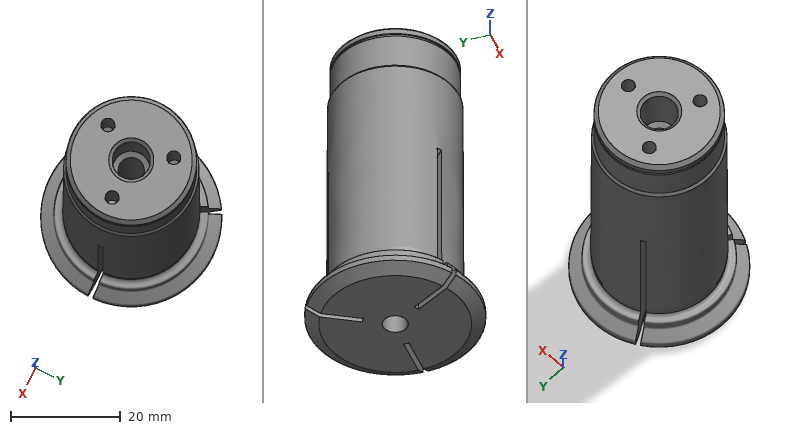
import cadquery as cq
import math

TOTAL_HEIGHT = 60.5

RIM_RADIUS = 16.5
RIM_BOTTOM_Z = 1.5
RIM_TOP_Z = 2.72
RIM_ROUND = 0.5
CONE_ANGLE = 30.0

STEP_RADIUS = 14.08
STEP_TOP_Z = 6.1
STEP_EDGE_ROUND = 0.35
STEP_ROOT_ROUND = 0.35

UNDERCUT_RADIUS = 12.35
UNDERCUT_BOTTOM_Z = 6.65
UNDERCUT_ROOT_RADIUS = 1.0
UNDERCUT_TOP_Z = 7.5
SHAFT_FOOT_RADIUS = 12.5
SHAFT_FOOT_Z = 8.0
SHAFT_HEAD_RADIUS = 12.35
SHAFT_HEAD_Z = 50.6

CAP_RADIUS = 23.8 / 2
CAP_FACE_RADIUS = 22.2 / 2
CAP_BOTTOM_Z = 51.2
GROOVE_BOTTOM_Z = 58.05
GROOVE_TOP_Z = 58.65
GROOVE_DEPTH = 0.25

BORE_DIAMETER = 4.76
COUNTERBORE_DIAMETER = 6.92
COUNTERSINK_DIAMETER = 8.2
COUNTERBORE_DEPTH = 10.0
FLOOR_SLOPE = math.tan(math.radians(30))

FACE_HOLE_COUNT = 3
FACE_HOLE_DIAMETER = 2.5
FACE_HOLE_CIRCLE_RADIUS = 7.75
FACE_HOLE_DEPTH = 10.0

SLOT_COUNT = 3
SLOT_WIDTH = 1.0
SLOT_TOP_Z = 33.5
SLOT_INNER_RADIUS = 6.0
SLOT_END_ANGLE = 35.0


class CircleSelector(cq.Selector):
    """Select circular edges about Z with a given radius and height."""

    TOLERANCE = 1e-4

    def __init__(self, radius, height):
        self.radius = radius
        self.height = height

    def filter(self, edges):
        return [edge for edge in edges if self.matches(edge)]

    def matches(self, edge):
        if edge.geomType() != "CIRCLE":
            return False
        radius_error = abs(edge.radius() - self.radius)
        height_error = abs(edge.Center().z - self.height)
        return max(radius_error, height_error) < self.TOLERANCE


def make_body():
    """Revolve the outer profile and round the edges of the flange step."""
    cone_run_per_height = 1 / math.tan(math.radians(CONE_ANGLE))
    foot_radius = RIM_RADIUS - RIM_BOTTOM_Z * cone_run_per_height
    cone_top_z = RIM_TOP_Z + (RIM_RADIUS - STEP_RADIUS) / cone_run_per_height
    cap_chamfer = CAP_RADIUS - CAP_FACE_RADIUS
    root_arc_rise = UNDERCUT_ROOT_RADIUS - (UNDERCUT_BOTTOM_Z - STEP_TOP_Z)
    root_arc_width = math.sqrt(UNDERCUT_ROOT_RADIUS**2 - root_arc_rise**2)

    profile = (
        cq.Workplane("XZ")
        .moveTo(0, 0)
        .lineTo(foot_radius, 0)
        .lineTo(RIM_RADIUS, RIM_BOTTOM_Z)
        .lineTo(RIM_RADIUS, RIM_TOP_Z)
        .lineTo(STEP_RADIUS, cone_top_z)
        .lineTo(STEP_RADIUS, STEP_TOP_Z)
        .lineTo(UNDERCUT_RADIUS + root_arc_width, STEP_TOP_Z)
        .radiusArc((UNDERCUT_RADIUS, UNDERCUT_BOTTOM_Z), UNDERCUT_ROOT_RADIUS)
        .lineTo(UNDERCUT_RADIUS, UNDERCUT_TOP_Z)
        .lineTo(SHAFT_FOOT_RADIUS, SHAFT_FOOT_Z)
        .lineTo(SHAFT_HEAD_RADIUS, SHAFT_HEAD_Z)
        .lineTo(CAP_RADIUS, CAP_BOTTOM_Z)
        .lineTo(CAP_RADIUS, GROOVE_BOTTOM_Z)
        .lineTo(CAP_RADIUS - GROOVE_DEPTH, GROOVE_TOP_Z)
        .lineTo(CAP_RADIUS, GROOVE_TOP_Z)
        .lineTo(CAP_RADIUS, TOTAL_HEIGHT - cap_chamfer)
        .lineTo(CAP_FACE_RADIUS, TOTAL_HEIGHT)
        .lineTo(0, TOTAL_HEIGHT)
        .close()
    )
    body = profile.revolve(360, (0, 0, 0), (0, 1, 0))

    roundings = [
        (RIM_RADIUS, RIM_TOP_Z, RIM_ROUND),
        (STEP_RADIUS, cone_top_z, STEP_ROOT_ROUND),
        (STEP_RADIUS, STEP_TOP_Z, STEP_EDGE_ROUND),
    ]
    for radius, height, rounding in roundings:
        body = body.edges(CircleSelector(radius, height)).fillet(rounding)
    return body


def make_bore():
    """Through bore with a cone-floored counterbore and a 45 degree countersink."""
    bore_radius = BORE_DIAMETER / 2
    counterbore_radius = COUNTERBORE_DIAMETER / 2
    countersink_radius = COUNTERSINK_DIAMETER / 2
    countersink_depth = countersink_radius - counterbore_radius
    counterbore_end_z = TOTAL_HEIGHT - COUNTERBORE_DEPTH
    cone_end_z = counterbore_end_z - (counterbore_radius - bore_radius) * FLOOR_SLOPE
    return (
        cq.Workplane("XZ")
        .moveTo(0, 0)
        .lineTo(bore_radius, 0)
        .lineTo(bore_radius, cone_end_z)
        .lineTo(counterbore_radius, counterbore_end_z)
        .lineTo(counterbore_radius, TOTAL_HEIGHT - countersink_depth)
        .lineTo(countersink_radius, TOTAL_HEIGHT)
        .lineTo(0, TOTAL_HEIGHT)
        .close()
        .revolve(360, (0, 0, 0), (0, 1, 0))
    )


def make_face_hole(angle):
    """Blind hole in the top face whose flat floor slopes down towards the axis."""
    radius = FACE_HOLE_DIAMETER / 2
    inner_x = FACE_HOLE_CIRCLE_RADIUS - radius
    outer_x = FACE_HOLE_CIRCLE_RADIUS + radius
    inner_floor_z = TOTAL_HEIGHT - FACE_HOLE_DEPTH
    outer_floor_z = inner_floor_z + FACE_HOLE_DIAMETER * FLOOR_SLOPE
    cylinder = (
        cq.Workplane("XY")
        .workplane(offset=inner_floor_z)
        .center(FACE_HOLE_CIRCLE_RADIUS, 0)
        .circle(radius)
        .extrude(FACE_HOLE_DEPTH)
    )
    below_floor = (
        cq.Workplane("XZ")
        .moveTo(inner_x, inner_floor_z)
        .lineTo(outer_x, inner_floor_z)
        .lineTo(outer_x, outer_floor_z)
        .close()
        .extrude(radius, both=True)
    )
    return cylinder.cut(below_floor).rotate((0, 0, 0), (0, 0, 1), angle)


def make_slot(angle):
    """Radial slot open at the foot, its upper end sloping down towards the axis."""
    end_slope = math.tan(math.radians(SLOT_END_ANGLE))
    inner_top_z = SLOT_TOP_Z - (SHAFT_FOOT_RADIUS - SLOT_INNER_RADIUS) * end_slope
    outer_top_z = SLOT_TOP_Z + (RIM_RADIUS - SHAFT_FOOT_RADIUS) * end_slope
    return (
        cq.Workplane("XZ")
        .moveTo(SLOT_INNER_RADIUS, 0)
        .lineTo(RIM_RADIUS, 0)
        .lineTo(RIM_RADIUS, outer_top_z)
        .lineTo(SLOT_INNER_RADIUS, inner_top_z)
        .close()
        .extrude(SLOT_WIDTH / 2, both=True)
        .rotate((0, 0, 0), (0, 0, 1), angle)
    )


result = make_body().cut(make_bore())
for hole_index in range(FACE_HOLE_COUNT):
    result = result.cut(make_face_hole(hole_index * 360 / FACE_HOLE_COUNT))
for slot_index in range(SLOT_COUNT):
    result = result.cut(make_slot(slot_index * 360 / SLOT_COUNT))